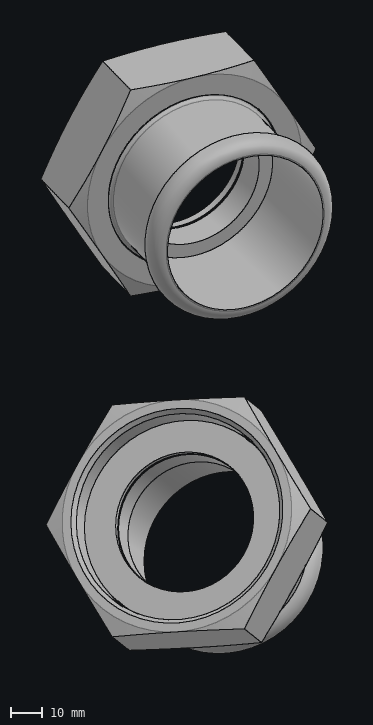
import cadquery as cq
import math


ACROSS_CORNERS = 86.6
ACROSS_FLATS = ACROSS_CORNERS * math.cos(math.pi / 6)
NUT_LENGTH = 23.5
NUT_BORE_DIAMETER = 66.5
NUT_MOUTH_DIAMETER = 69.3
NUT_MOUTH_DEPTH = 1.4
NUT_NECK_DIAMETER = 60.4
CORNER_CHAMFER_ANGLE = math.radians(15)

TOTAL_LENGTH = 60.2
FLANGE_FACE = 9.1
FLANGE_DIAMETER = 65.5
FLANGE_BACK = 17.3
COLLAR_DIAMETER = 60.0
COLLAR_FILLET_END = 24.2
TUBE_DIAMETER = 57.5
SEAT_BORE_DIAMETER = 45.0
SEAT_BORE_END = 23.6
SOCKET_DIAMETER = 54.5

GROOVE_START = 12.0
GROOVE_WIDTH = 0.5
GROOVE_DEPTH = 0.3

BEAD_DIAMETER = 64.8
BEAD_WIDTH = 9.35


def cylinder(diameter, start, end):
    """Solid cylinder on the X axis between two X positions."""
    return cq.Workplane("YZ", origin=(start, 0, 0)).circle(diameter / 2).extrude(end - start)


def revolve_about_x(profile):
    """Turn a closed profile drawn as (x, radius) about the X axis."""
    return profile.close().revolve(360, (0, 0, 0), (1, 0, 0))


def corner_chamfer_envelope():
    """Turned blank whose conical ends trim the hexagon corners."""
    face_radius = ACROSS_FLATS / 2
    corner_radius = ACROSS_CORNERS / 2
    depth = (corner_radius - face_radius) * math.tan(CORNER_CHAMFER_ANGLE)
    return revolve_about_x(
        cq.Workplane("XY")
        .moveTo(0, 0)
        .lineTo(0, face_radius)
        .lineTo(depth, corner_radius)
        .lineTo(NUT_LENGTH - depth, corner_radius)
        .lineTo(NUT_LENGTH, face_radius)
        .lineTo(NUT_LENGTH, 0)
    )


def nut_mouth():
    """Conical lead-in at the open end of the nut."""
    return revolve_about_x(
        cq.Workplane("XY")
        .moveTo(0, 0)
        .lineTo(0, NUT_MOUTH_DIAMETER / 2)
        .lineTo(NUT_MOUTH_DEPTH, NUT_BORE_DIAMETER / 2)
        .lineTo(NUT_MOUTH_DEPTH, 0)
    )


def make_nut():
    """Hexagonal nut with a wide bore and a narrower neck behind the flange."""
    hexagon = cq.Workplane("YZ").polygon(6, ACROSS_CORNERS).extrude(NUT_LENGTH)
    return (
        hexagon.intersect(corner_chamfer_envelope())
        .cut(cylinder(NUT_BORE_DIAMETER, 0, FLANGE_BACK))
        .cut(cylinder(NUT_NECK_DIAMETER, FLANGE_BACK, NUT_LENGTH))
        .cut(nut_mouth())
    )


def fitting_outside():
    """Flange, collar blending into the tube, and the half-round end bead."""
    collar_radius = COLLAR_DIAMETER / 2
    tube_radius = TUBE_DIAMETER / 2
    blend = collar_radius - tube_radius
    blend_start = COLLAR_FILLET_END - blend
    blend_middle = (
        COLLAR_FILLET_END - blend * math.sin(math.pi / 4),
        collar_radius - blend * math.cos(math.pi / 4),
    )
    flange_radius = FLANGE_DIAMETER / 2
    bead_start = TOTAL_LENGTH - BEAD_WIDTH
    bead_radius = BEAD_WIDTH / 2
    bead_center_radius = BEAD_DIAMETER / 2 - bead_radius
    body = revolve_about_x(
        cq.Workplane("XY")
        .moveTo(FLANGE_FACE, 0)
        .lineTo(FLANGE_FACE, flange_radius)
        .lineTo(FLANGE_BACK, flange_radius)
        .lineTo(FLANGE_BACK, collar_radius)
        .lineTo(blend_start, collar_radius)
        .threePointArc(blend_middle, (COLLAR_FILLET_END, tube_radius))
        .lineTo(bead_start + bead_radius, tube_radius)
        .lineTo(bead_start + bead_radius, 0)
    )
    bead = revolve_about_x(
        cq.Workplane("XY")
        .moveTo(bead_start, 0)
        .lineTo(bead_start, bead_center_radius)
        .threePointArc(
            (bead_start + bead_radius, BEAD_DIAMETER / 2),
            (TOTAL_LENGTH, bead_center_radius),
        )
        .lineTo(TOTAL_LENGTH, 0)
    )
    return body.union(bead)


def make_fitting():
    """Flanged tube with a narrow grooved seat bore and a wide pipe socket."""
    groove_diameter = SEAT_BORE_DIAMETER + 2 * GROOVE_DEPTH
    return (
        fitting_outside()
        .cut(cylinder(SEAT_BORE_DIAMETER, FLANGE_FACE, SEAT_BORE_END))
        .cut(cylinder(groove_diameter, GROOVE_START, GROOVE_START + GROOVE_WIDTH))
        .cut(cylinder(SOCKET_DIAMETER, SEAT_BORE_END, TOTAL_LENGTH))
    )


nut = make_nut()
fitting = make_fitting()

result = cq.Compound.makeCompound([nut.val(), fitting.val()])